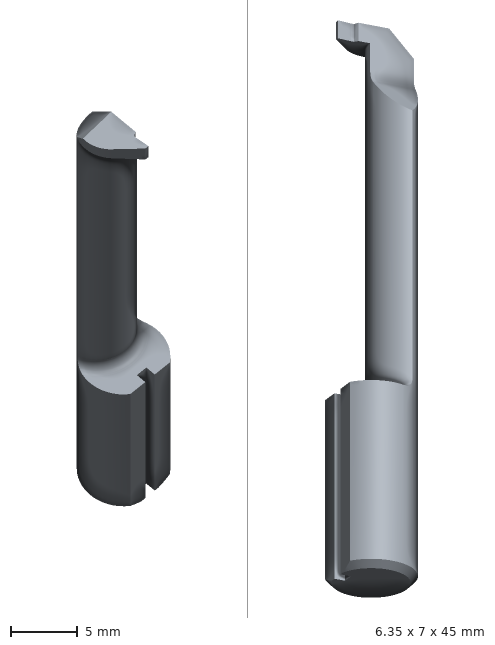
import cadquery as cq
import math

length = 45.0
shank_radius = 3.5
shank_top = 15.0
end_chamfer = 0.55
flat_x = 2.85

slot_bottom_x = 1.95
slot_width = 1.0

neck_radius = 3.0
neck_right_x = 0.158
neck_center_x = neck_right_x - neck_radius
foot_radius = 0.85

head_bottom = 43.5
head_front_y = -3.0
tip_x = 2.75
tip_top_y = -0.1
tip_bottom_y = -0.4
flank_start_x = 0.95
relief_slope = 0.07
bevel_top_x = -1.45
bevel_relief_slope = 0.12

face_y = 0.15
ramp_start_z = 40.72
ramp_angle = 40.5
ramp_blend_radius = 1.58
groove_left_x = 1.12
groove_bottom_x = 1.58
groove_bottom_y = -0.202


def shank_cylinder(height):
    return cq.Workplane("XY").circle(shank_radius).extrude(height)


def make_shank():
    shank = shank_cylinder(shank_top + foot_radius).faces("<Z").chamfer(end_chamfer)
    size = 4 * shank_radius
    beyond_flat = cq.Workplane("XY").box(size, size, length, centered=(False, True, False))
    slot = cq.Workplane("XY").box(size, slot_width, length, centered=(False, True, False))
    shank = shank.cut(beyond_flat.translate((flat_x, 0, 0)))
    return shank.cut(slot.translate((slot_bottom_x, 0, 0)))


def make_foot_cutter():
    """Ring around the neck whose inner lower edge is a concave quarter round."""
    outer = 4 * shank_radius
    top = shank_top + foot_radius
    diagonal = foot_radius * (1 - math.sqrt(0.5))
    return (
        cq.Workplane("XZ")
        .moveTo(neck_radius, top)
        .threePointArc(
            (neck_radius + diagonal, shank_top + diagonal),
            (neck_radius + foot_radius, shank_top),
        )
        .lineTo(outer, shank_top)
        .lineTo(outer, top)
        .close()
        .revolve(360, (0, 0, 0), (0, 1, 0))
        .translate((neck_center_x, 0, 0))
    )


def make_neck():
    neck = (
        cq.Workplane("XY", origin=(neck_center_x, 0, shank_top))
        .circle(neck_radius)
        .extrude(length - shank_top)
    )
    return neck.intersect(shank_cylinder(length))


def make_head():
    """Hooked plate with a round front, a 45 degree flank and relieved end faces."""
    flank_start_y = tip_bottom_y - (tip_x - flank_start_x)
    diagonal = math.sqrt(0.5)
    nose_radius = (flank_start_y - head_front_y) / (1 - diagonal)
    nose_x = flank_start_x - diagonal * nose_radius
    nose_start_x = 2 * nose_x - flank_start_x
    plan = (
        cq.Workplane("XY")
        .moveTo(nose_start_x, face_y)
        .lineTo(nose_start_x, flank_start_y)
        .threePointArc((nose_x, head_front_y), (flank_start_x, flank_start_y))
        .lineTo(tip_x, tip_bottom_y)
        .lineTo(tip_x, tip_top_y)
        .lineTo(groove_bottom_x, groove_bottom_y)
        .lineTo((groove_left_x + groove_bottom_x) / 2, groove_bottom_y)
        .lineTo(groove_left_x, face_y)
        .close()
        .extrude(length)
    )
    side = (
        cq.Workplane("YZ")
        .moveTo(face_y, head_bottom)
        .lineTo(face_y, length)
        .lineTo(head_front_y, length)
        .lineTo(head_front_y, head_bottom + relief_slope * (face_y - head_front_y))
        .close()
        .extrude(2 * shank_radius, both=True)
    )
    return plan.intersect(side).intersect(shank_cylinder(length))


def make_ramp_cutter():
    """Space behind the chip face, ending in a blended ramp out to the back."""
    back_y = 2 * shank_radius
    ramp_end_z = ramp_start_z - (back_y - face_y) / math.tan(math.radians(ramp_angle))
    top = length + shank_radius
    cutter = (
        cq.Workplane("YZ")
        .moveTo(face_y, top)
        .lineTo(face_y, ramp_start_z)
        .lineTo(back_y, ramp_end_z)
        .lineTo(back_y, top)
        .close()
        .extrude(2 * shank_radius, both=True)
    )
    corner = cq.selectors.NearestToPointSelector((0, face_y, ramp_start_z))
    return cutter.edges(corner).fillet(ramp_blend_radius)


def space_above(slope_x, slope_y, height):
    """Space above a plane passing through (0, 0, height) with the given slopes."""
    size = 10 * shank_radius
    plane = cq.Plane((0, 0, height), (1, 0, slope_x), (-slope_x, -slope_y, 1))
    return cq.Workplane(plane).box(size, size, size, centered=(True, True, False))


top_relief = space_above(0, relief_slope, length - relief_slope * face_y)
bevel_height = length - bevel_top_x - bevel_relief_slope * face_y
corner_bevel = space_above(1, bevel_relief_slope, bevel_height)

result = (
    make_shank()
    .cut(make_foot_cutter())
    .union(make_neck())
    .union(make_head())
    .cut(make_ramp_cutter())
    .cut(top_relief)
    .cut(corner_bevel)
)